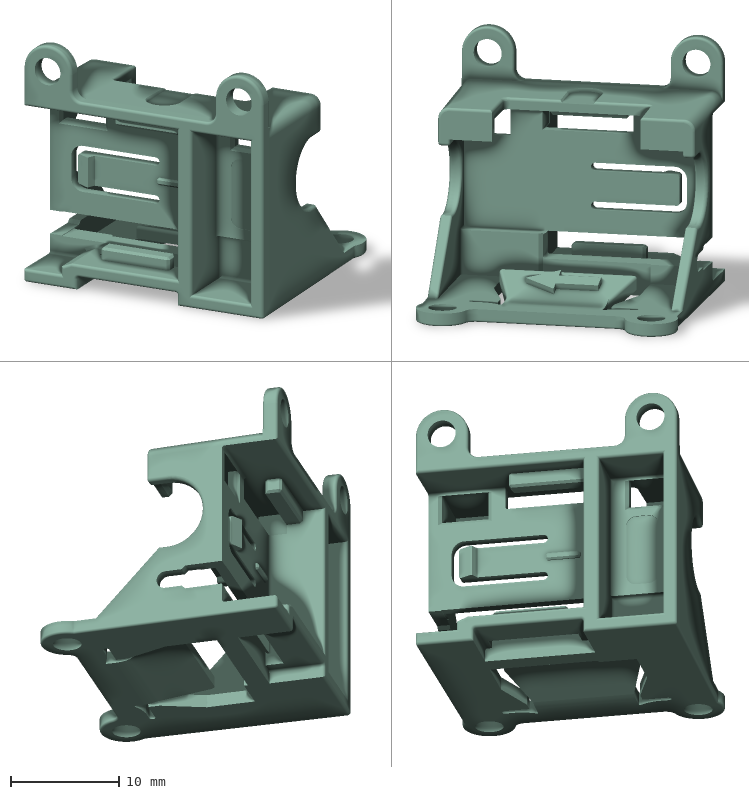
import cadquery as cq
import math


half_width = 12.35
draft = math.tan(math.radians(1.0))
body_depth = 20.92
base_thickness = 1.24
top_height = 18.35
ceiling = 17.17
side_inner = 11.05
bay_depth = 5.34
panel_back = 6.37
lower_back = 7.7
rim_radius = 0.27
inner_radius = 0.27
bottom_edge = 0.2
reach = 49.4

lug_radius = 2.47
lug_hole = 2.65
lug_x = half_width - lug_radius
lug_blend = 1.0
tab_thickness = 1.4
tab_centre_z = 20.87
tab_back_radius = 0.22

arm_depth = 12.6
arm_bottom = 14.55
arm_edge = 0.3
wall_inner_edge = 0.2
roof_rim = 0.27
roof_edge_radius = 1.04
bite_bottom = 7.7
bite_edge_y = 7.25
ledge_y = 11.49
slope_foot_y = 17.69
lip_front_y = 11.6
lip_bottom = 15.2
lip_edge = 0.32

notch_half = 6.92
notch_mouth_half = 7.01
notch_y = 7.68
notch_corner = 0.5
thumb_radius = 1.75
thumb_centre_y = 4.32
thumb_depth = 0.3

rib_left = 3.5
rib_right = 5.0
rib_back_chamfer = 0.37
bay_floor = 2.47
step_x = -8.47
step_z = 2.05
ramp_x = -7.45
lower_panel_y = 5.93
channel_left = -6.92
channel_height = 1.28
channel_corner = 0.25

slot_bottom = 3.06
slot_top = 5.48
slot_right = 3.33
slot_corner = 0.25
sill_back_y = 7.35
outlet_margin = 0.05
outlet_wide_end = 8.9
outlet_narrow_start = 9.25
outlet_tip_centre = 10.82
outlet_tip_half = 0.85

window_inner = 6.65
window_bottom = 14.33
window_bevel = 0.32
hook_window_left = -5.0
hook_window_bottom = 15.07
hook_window_front = 3.63
hook_window_corner = 0.2
hook_window_relief = 0.07

spring_z = 9.93
spring_left = -10.08
spring_end = -1.38
spring_outer_half = 2.25
finger_half = 1.45
finger_left = -9.39
spring_corner = 1.19
finger_corner = 0.3
bump_y = 4.62
bump_edge_y = 5.3
bump_top_left = -8.15
bump_top_right = -8.0
bump_right = -7.65
bump_root = 0.12

nub_left = -1.15
nub_right = 2.15
nub_half = 0.35
nub_height = 0.3
nub_bevel = 0.17

hook_back_y = 3.6
hook_heel = 0.27
hook_edge = 0.22
top_hook = (-4.0, rib_left, 2.03, 15.85)
bottom_hook = (-5.53, 1.53, 2.25, 3.7)
floor_hole_margin = 0.75

pad_x = 7.95
pad_width = 3.01
pad_bottom = 6.5
pad_top = 13.3
pad_depth = 0.07
pad_corner = 0.91

latch_half_root = 4.77
latch_half_tip = 6.62
latch_root_y = 17.69
latch_bend_y = 16.7
latch_waist_y = 16.43
latch_tip_y = 11.39
latch_angle = 17.0
latch_edge = 0.3
latch_mouth_y = 12.3
slit_width = 0.6
slit_arm_end = 8.0
slit_arm_y = 17.8
slit_peak_y = 18.67
slit_peak_width = 0.2
slit_curve_start = 6.62
slit_curve_mid_x = 5.8
slit_curve_mid_y = 18.28

arrow_height = 0.62
arrow_root = 0.12
arrow_tail_x = -3.5
arrow_neck_x = 0.5
arrow_tip_x = 3.5
arrow_y = 13.83
arrow_shaft_half = 0.75
arrow_head_half = 1.73


def box(x0, x1, y0, y1, z0, z1):
    return cq.Workplane("XY").box(x1 - x0, y1 - y0, z1 - z0, centered=False).translate((x0, y0, z0))


def along_x(points, x0, x1):
    """Prism of a YZ outline between two X positions."""
    return cq.Workplane("YZ").workplane(offset=x0).polyline(points).close().extrude(x1 - x0)


def along_y(points, y0, y1):
    """Prism of an XZ outline between two Y positions."""
    return cq.Workplane("XZ").workplane(offset=-y0).polyline(points).close().extrude(y0 - y1)


def along_z(points, z0, z1):
    """Prism of an XY outline between two Z positions."""
    return cq.Workplane("XY").workplane(offset=z0).polyline(points).close().extrude(z1 - z0)


def within(x0, x1, y0, y1, z0, z1):
    """Selector of the edges whose centres lie inside a box."""
    return cq.selectors.BoxSelector((x0, y0, z0), (x1, y1, z1))


def both_sides(solid):
    return solid.union(solid.mirror("YZ"))


def plan(z0, z1):
    """Plan of the body behind the tabs, narrowing towards the back with the draft."""
    back_half = half_width - (body_depth - tab_thickness) * draft
    front = [(-half_width, tab_thickness), (half_width, tab_thickness)]
    return along_z(front + [(back_half, body_depth), (-back_half, body_depth)], z0, z1)


def front_plate(z0, z1):
    return box(-half_width, half_width, 0, tab_thickness, z0, z1)


def base_plate():
    blend_x = math.sqrt((lug_radius + lug_blend) ** 2 - lug_blend ** 2)
    touch = lug_radius / (lug_radius + lug_blend)
    web = along_z(
        [(-lug_x, 0), (-lug_x + blend_x, 0), (-lug_x + blend_x * touch, lug_blend * touch)],
        0,
        base_thickness,
    ).translate((0, body_depth, 0))
    web = web.cut(
        cq.Workplane("XY").center(blend_x - lug_x, body_depth + lug_blend).circle(lug_blend)
        .extrude(base_thickness)
    )
    lug = cq.Workplane("XY").center(-lug_x, body_depth).circle(lug_radius).extrude(base_thickness)
    plate = plan(0, base_thickness).union(front_plate(0, base_thickness))
    plate = plate.union(both_sides(lug.union(web)))
    return plate.faces("<Z").edges("not <Y").fillet(bottom_edge)


def body_block():
    """Roof, side walls and front block as one solid with the round bite taken out of the back."""
    radius = (arm_bottom - bite_bottom) / 2
    bite_y = bite_edge_y + radius
    bite_z = bite_bottom + radius
    profile = (
        cq.Workplane("YZ").workplane(offset=-reach / 2)
        .moveTo(tab_thickness, base_thickness / 2)
        .lineTo(tab_thickness, top_height)
        .lineTo(arm_depth, top_height - (arm_depth - tab_thickness) * draft)
        .lineTo(arm_depth, arm_bottom)
        .lineTo(bite_y, arm_bottom)
        .threePointArc((bite_edge_y, bite_z), (bite_y, bite_bottom))
        .lineTo(ledge_y, bite_bottom)
        .lineTo(slope_foot_y, base_thickness)
        .lineTo(slope_foot_y, base_thickness / 2)
        .close()
        .extrude(reach)
    )
    block = profile.intersect(plan(0, reach))
    for side in (-1, 1):
        x0, x1 = sorted((side * side_inner, side * reach))
        roof_edge = within(x0, x1, tab_thickness, arm_depth - 0.25, ceiling + 0.75, reach)
        block = block.edges(roof_edge).fillet(roof_edge_radius)
    for side in (-1, 1):
        x0, x1 = sorted((side * side_inner, side * reach))
        rear_edges = within(x0, x1, bite_edge_y - 0.25, reach, base_thickness + 0.25, arm_bottom + 0.25)
        block = block.edges(rear_edges).fillet(arm_edge)
    return block.union(front_plate(base_thickness / 2, top_height))


def interior():
    """Space behind the front block, leaving hanging lips at the ends of the roof arms."""
    upper = box(-side_inner, side_inner, panel_back, lip_front_y, slot_top, ceiling)
    lower = box(-side_inner, side_inner, lower_back, reach, base_thickness, slot_top)
    rear = box(-side_inner, side_inner, lip_front_y, reach, slot_top, lip_bottom)
    lip_bevel = along_x(
        [
            (lip_front_y, lip_bottom),
            (lip_front_y, lip_bottom + lip_edge),
            (lip_front_y + lip_edge, lip_bottom),
        ],
        -side_inner,
        side_inner,
    )
    rib_bevel = along_z(
        [
            (slot_right, lower_back),
            (slot_right, lower_back - rib_back_chamfer),
            (slot_right + rib_back_chamfer, lower_back),
        ],
        base_thickness,
        slot_top,
    )
    return upper.union(lower).union(rear).union(lip_bevel).union(rib_bevel)


def roof_notch():
    outline = [
        (-notch_half, notch_y),
        (notch_half, notch_y),
        (notch_mouth_half, arm_depth),
        (notch_mouth_half, reach),
        (-notch_mouth_half, reach),
        (-notch_mouth_half, arm_depth),
    ]
    notch = along_z(outline, bite_bottom, reach)
    return notch.edges(within(-reach, reach, 0, notch_y + 0.25, 0, reach)).edges("|Z").fillet(notch_corner)


def round_roof_edges(body):
    """Round the rim of the roof notch and the ends of the roof arms."""
    rim = within(-half_width, half_width, notch_y - 0.25, arm_depth + 0.25, ceiling + 0.5, reach)
    return body.edges(rim).edges("not <X").edges("not >X").fillet(roof_rim)


def round_wall_edges(body):
    """Round the inner rear edges of both side walls."""
    for x in (-side_inner, side_inner):
        rim = within(x - 0.02, x + 0.02, bite_edge_y - 0.25, reach, base_thickness + 0.25, arm_bottom + 0.25)
        body = body.edges(rim).fillet(wall_inner_edge)
    return body


def thumb_recess():
    outline = (
        cq.Workplane("XY").workplane(offset=top_height)
        .moveTo(-thumb_radius, notch_y + 0.5)
        .lineTo(-thumb_radius, thumb_centre_y)
        .threePointArc((0, thumb_centre_y - thumb_radius), (thumb_radius, thumb_centre_y))
        .lineTo(thumb_radius, notch_y + 0.5)
        .close()
    )
    return outline.extrude(-thumb_depth, taper=45)


def tab():
    inner_x = lug_x - lug_radius
    profile = (
        cq.Workplane("XZ")
        .moveTo(half_width, ceiling)
        .lineTo(half_width, tab_centre_z)
        .threePointArc((lug_x, tab_centre_z + lug_radius), (inner_x, tab_centre_z))
        .lineTo(inner_x, top_height + lug_blend)
        .radiusArc((inner_x - lug_blend, top_height), lug_blend)
        .lineTo(inner_x - lug_blend, ceiling)
        .close()
        .extrude(-tab_thickness)
    )
    return profile.faces(">Y").edges().fillet(tab_back_radius)


def open_bay():
    """Bay open to the left, with a stepped and ramped floor."""
    outline = [
        (-reach / 2, base_thickness),
        (step_x, base_thickness),
        (step_x, step_z),
        (ramp_x, bay_floor),
        (rib_left, bay_floor),
        (rib_left, ceiling),
        (-reach / 2, ceiling),
    ]
    return along_y(outline, -0.25, bay_depth).faces(">Y").edges().fillet(inner_radius)


def closed_bay():
    upper = box(rib_right, side_inner, -0.25, bay_depth, base_thickness, ceiling)
    upper = upper.faces(">Y").edges().fillet(inner_radius)
    lower = box(rib_right, side_inner, 0, lower_panel_y, base_thickness, slot_top)
    lower = lower.faces(">Y").edges().fillet(inner_radius)
    return upper.union(lower)


def channel():
    tunnel = box(channel_left, rib_left, -0.25, bay_depth, -0.25, channel_height)
    return tunnel.edges("|Y and >Z").fillet(channel_corner)


def lower_slot():
    """Long opening under the panel, running out through the left side wall."""
    slot = box(-side_inner, slot_right, 0, lower_back, slot_bottom, slot_top)
    slot = slot.edges("|Y and >X").fillet(slot_corner)
    slot = slot.cut(box(-reach, reach, 0, bay_depth - 0.25, 0, reach))
    mid = (slot_bottom + slot_top) / 2
    half = (slot_top - slot_bottom) / 2 - outlet_margin
    outlet_start = -half_width - 1.24
    outlet = (
        cq.Workplane("YZ").workplane(offset=outlet_start)
        .moveTo(bay_depth - 0.25, mid - half)
        .lineTo(outlet_wide_end, mid - half)
        .lineTo(outlet_narrow_start, mid - outlet_tip_half)
        .lineTo(outlet_tip_centre, mid - outlet_tip_half)
        .threePointArc((outlet_tip_centre + outlet_tip_half, mid), (outlet_tip_centre, mid + outlet_tip_half))
        .lineTo(outlet_narrow_start, mid + outlet_tip_half)
        .lineTo(outlet_wide_end, mid + half)
        .lineTo(bay_depth - 0.25, mid + half)
        .close()
        .extrude(-notch_half - outlet_start)
    )
    sill_back = box(-notch_half, slot_right, sill_back_y, lower_back, -0.25, slot_top)
    return slot.union(outlet).union(sill_back)


def panel_windows():
    width = side_inner - window_inner
    height = ceiling - window_bottom
    centre = ((side_inner + window_inner) / 2, (ceiling + window_bottom) / 2)
    hole = box(window_inner, side_inner, bay_depth, panel_back, window_bottom, ceiling)
    bevel = (
        cq.Workplane("XZ").workplane(offset=-bay_depth).center(*centre)
        .rect(width + 2 * window_bevel, height + 2 * window_bevel)
        .extrude(-window_bevel, taper=45)
    )
    bevel = bevel.intersect(box(0, side_inner + window_bevel, 0, reach, 0, ceiling))
    hook_window = box(
        hook_window_left, rib_left + hook_window_relief,
        hook_window_front, panel_back,
        hook_window_bottom, ceiling,
    )
    hook_window = hook_window.edges("|Y and <X and <Z").fillet(hook_window_corner)
    return both_sides(hole.union(bevel)).union(hook_window)


def spring_slot():
    """U-shaped slot with round ends that frees the spring finger."""
    outer = box(
        spring_left, spring_end,
        bay_depth - 0.25, panel_back,
        spring_z - spring_outer_half, spring_z + spring_outer_half,
    )
    outer = outer.edges("|Y and <X").fillet(spring_corner)
    finger = box(finger_left, 0, 0, reach, spring_z - finger_half, spring_z + finger_half)
    slot = outer.cut(finger.edges("|Y and <X").fillet(finger_corner))
    arm_z = (spring_outer_half + finger_half) / 2
    ends = (
        cq.Workplane("XZ").workplane(offset=0.25 - bay_depth)
        .pushPoints([(spring_end, spring_z - arm_z), (spring_end, spring_z + arm_z)])
        .circle((spring_outer_half - finger_half) / 2)
        .extrude(bay_depth - 0.25 - panel_back)
    )
    return slot.union(ends)


def finger_bump():
    root_y = bay_depth + bump_root
    outline = [
        (finger_left, root_y),
        (finger_left, bump_edge_y),
        (bump_top_left, bump_y),
        (bump_top_right, bump_y),
        (bump_right, bay_depth),
        (bump_right, root_y),
    ]
    bump = along_z(outline, spring_z - finger_half, spring_z + finger_half)
    return bump.edges("|Y and <X").fillet(finger_corner)


def nub():
    length = nub_right - nub_left
    return (
        cq.Workplane("XZ").workplane(offset=-bay_depth).center((nub_left + nub_right) / 2, spring_z)
        .rect(length, 2 * nub_half).extrude(nub_height)
        .edges("|Y").chamfer(nub_bevel)
        .faces("<Y").edges().chamfer(nub_bevel)
    )


def hook(span, root_z):
    """Block on a bay face; span gives its X limits, its front and its free end in Z."""
    x0, x1, front_y, end_z = span
    free_end = "<Z" if end_z < root_z else ">Z"
    block = box(x0, x1, front_y, hook_back_y, min(root_z, end_z), max(root_z, end_z))
    block = block.edges("|Z and <Y").chamfer(hook_edge)
    block = block.faces(free_end).edges("not >Y").chamfer(hook_edge)
    return block.edges("|Z and >Y").chamfer(hook_heel)


def floor_hole():
    x0, x1 = bottom_hook[:2]
    return box(x0 - floor_hole_margin, x1 + floor_hole_margin, hook_back_y, bay_depth, 0, slot_bottom - 0.25)


def label_pad():
    height = pad_top - pad_bottom
    return (
        cq.Workplane("XZ").workplane(offset=-bay_depth - pad_depth).center(pad_x, (pad_top + pad_bottom) / 2)
        .rect(pad_width, height).extrude(pad_depth)
        .edges("|Y").fillet(pad_corner)
    )


def latch_opening():
    """Base opening around the flap, with a curved side arm at each end of the hinge."""
    outer_half = latch_half_root + slit_width
    outline = [
        (0, lower_back),
        (-notch_half, lower_back),
        (-notch_half, latch_mouth_y),
        (-outer_half, latch_waist_y),
        (-outer_half, slit_arm_y),
        (-latch_half_root, slit_arm_y),
        (-latch_half_root, latch_root_y),
        (0, latch_root_y),
    ]
    half = along_z(outline, -0.25, base_thickness + 0.25)
    r = slit_width / 2
    arm = (
        cq.Workplane("XY").workplane(offset=-0.25)
        .moveTo(-outer_half, slit_arm_y - r)
        .lineTo(-slit_arm_end + r, slit_arm_y - r)
        .threePointArc((-slit_arm_end, slit_arm_y), (-slit_arm_end + r, slit_arm_y + r))
        .lineTo(-slit_curve_start, slit_arm_y + r)
        .threePointArc((-slit_curve_mid_x, slit_curve_mid_y), (-latch_half_root - slit_peak_width, slit_peak_y))
        .lineTo(-latch_half_root, slit_peak_y)
        .lineTo(-latch_half_root, slit_arm_y - r)
        .close()
        .extrude(base_thickness + 0.5)
    )
    return both_sides(half.union(arm))


def latch_arrow():
    """Arrow lying flat, with the bend line of the flap at the origin of Y."""
    outline = [
        (arrow_tail_x, arrow_y - arrow_shaft_half),
        (arrow_neck_x, arrow_y - arrow_shaft_half),
        (arrow_neck_x, arrow_y - arrow_head_half),
        (arrow_tip_x, arrow_y),
        (arrow_neck_x, arrow_y + arrow_head_half),
        (arrow_neck_x, arrow_y + arrow_shaft_half),
        (arrow_tail_x, arrow_y + arrow_shaft_half),
    ]
    return along_z(outline, -arrow_root, arrow_height).translate((0, -latch_bend_y, 0))


def latch():
    """Flap that bends upwards in an arc from its hinge and runs on straight to its tip."""
    tilt = math.radians(latch_angle)
    bend_radius = (latch_root_y - latch_bend_y) / math.sin(tilt)
    outer_radius = bend_radius + base_thickness

    def bend_point(radius, angle):
        height = base_thickness + bend_radius - radius * math.cos(angle)
        return (latch_root_y - radius * math.sin(angle), height)

    straight = (latch_bend_y - latch_tip_y) / math.cos(tilt) + base_thickness * math.tan(tilt)
    run = straight * math.cos(tilt)
    rise = straight * math.sin(tilt)
    top_end = bend_point(bend_radius, tilt)
    low_end = bend_point(outer_radius, tilt)
    side = (
        cq.Workplane("YZ").workplane(offset=-half_width)
        .moveTo(latch_root_y, base_thickness)
        .threePointArc(bend_point(bend_radius, tilt / 2), top_end)
        .lineTo(top_end[0] - run, top_end[1] + rise)
        .lineTo(low_end[0] - run, low_end[1] + rise)
        .lineTo(*low_end)
        .threePointArc(bend_point(outer_radius, tilt / 2), (latch_root_y, 0))
        .close()
        .extrude(2 * half_width)
    )
    flap_plan = [
        (-latch_half_root, latch_root_y),
        (-latch_half_root, latch_waist_y),
        (-latch_half_tip, latch_tip_y),
        (latch_half_tip, latch_tip_y),
        (latch_half_root, latch_waist_y),
        (latch_half_root, latch_root_y),
    ]
    flap = side.intersect(along_z(flap_plan, -reach, reach))
    upper_rim = within(
        -half_width, half_width, latch_tip_y - 0.25, latch_waist_y - 1.24, base_thickness + 0.5, reach
    )
    flap = flap.edges(upper_rim).fillet(latch_edge)
    arrow = latch_arrow().rotate((0, 0, 0), (1, 0, 0), -latch_angle)
    return flap.union(arrow.translate((0, *top_end)))


def lug_holes():
    upright = (
        cq.Workplane("XZ").pushPoints([(-lug_x, tab_centre_z), (lug_x, tab_centre_z)])
        .circle(lug_hole / 2).extrude(-tab_thickness)
    )
    flat = (
        cq.Workplane("XY").pushPoints([(-lug_x, body_depth), (lug_x, body_depth)])
        .circle(lug_hole / 2).extrude(base_thickness)
    )
    return upright.union(flat)


body = body_block().union(base_plate()).cut(interior()).cut(roof_notch())
body = round_roof_edges(body)
body = round_wall_edges(body)
body = body.cut(thumb_recess())

body = body.union(both_sides(tab()))
body = body.cut(open_bay()).cut(closed_bay()).cut(channel())
body = body.faces("<Y").edges().fillet(rim_radius)

body = body.cut(lower_slot()).cut(panel_windows()).cut(floor_hole())
body = body.union(hook(top_hook, ceiling)).union(hook(bottom_hook, bay_floor - 0.25))
body = body.cut(spring_slot()).union(finger_bump()).union(nub()).cut(label_pad())

body = body.cut(latch_opening()).union(latch())
result = body.cut(lug_holes())